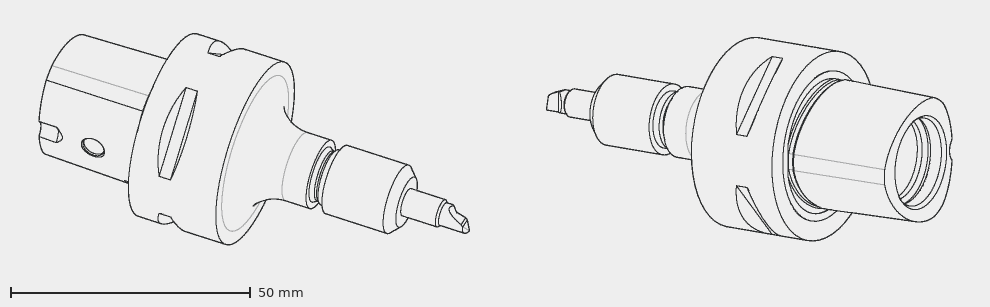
import cadquery as cq
import math


shank_end = 22.2
neck_start = 22.6
flange_start = 24.0
flange_length = 20.0
flange_end = flange_start + flange_length
nose_groove_start = 59.0
sleeve_start = 62.6
sleeve_end = 78.6
tip_start = 87.0
overall_length = 93.0

lobe_height = 0.93
shank_radius_small = 13.1
shank_taper = 1 / 40
shank_radius_large = shank_radius_small + shank_end * shank_taper
neck_inset = 0.25
neck_flare = 0.35
corner_truncation = 0.13
outline_samples = 120

flange_radius = 20.0
face_groove_radius = 15.05
face_groove_round = 0.8

notch_count = 4
notch_pitch = 360 / notch_count
notch_floor_distance = 17.5
notch_floor_width = 2.6
notch_half_angle = 30.0
notch_center_x = flange_start + 8.0

nose_radius = 7.5
nose_fillet = 9.5
groove_wall_radius = 6.05
groove_floor_radius = 5.5
groove_floor_start = 60.0
groove_floor_width = 0.5
sleeve_chamfer = 2.0
bar_radius = 3.0
tip_radius = 2.5

bore_mouth_radius = 9.9
bore_radius = 9.3
bore_mouth_depth = 0.9
bore_groove_radius = 9.6
bore_groove_start = 3.6
bore_groove_end = 4.4
bore_lip_radius = 8.7
bore_lip_end = 6.5

slot_radius = 3.0
slot_axis_y = -14.05
slot_length = 4.0
slot_cone_length = 3.6
side_hole_x = 12.5
side_hole_radius = 2.4
side_hole_chamfer = 0.3
side_hole_depth = 0.8
drill_half_angle = 59.0

cut_ramp_length = 2.4
cut_ramp_end = 90.0
relief_start = 88.4
relief_end = 92.1
relief_height = 1.05
end_top_x = 92.5
end_top_height = 0.6
end_side_setback = 0.55


def revolve_about_axis(profile):
    """Revolve a closed XY profile a full turn about the X axis."""
    return profile.close().revolve(360, (0, 0, 0), (1, 0, 0))


def polygon_wire(x, mean_radius):
    """Three-lobed outline in the plane at x, with one lobe towards +Y."""

    def point(t):
        angle = 2 * math.pi * t
        support = mean_radius + lobe_height * math.cos(3 * angle)
        slope = -3 * lobe_height * math.sin(3 * angle)
        y = support * math.cos(angle) - slope * math.sin(angle)
        z = support * math.sin(angle) + slope * math.cos(angle)
        return (y, z)

    outline = cq.Workplane("YZ", origin=(x, 0, 0)).parametricCurve(point, N=outline_samples)
    return outline.val()


def polygon_frustum(start, start_radius, end, end_radius):
    """Polygon solid whose rounded corners are truncated by a cone."""
    wires = [polygon_wire(start, start_radius), polygon_wire(end, end_radius)]
    body = cq.Workplane(cq.Solid.makeLoft(wires, True))
    corner_reach = lobe_height - corner_truncation
    truncation = revolve_about_axis(
        cq.Workplane("XY")
        .moveTo(start, 0)
        .lineTo(start, start_radius + corner_reach)
        .lineTo(end, end_radius + corner_reach)
        .lineTo(end, 0)
    )
    return body.intersect(truncation)


def shank():
    """Tapered polygon, its end chamfer, and the neck flaring into the flange."""
    neck_radius = shank_radius_large - neck_inset
    flare_start = flange_start - neck_flare
    taper = polygon_frustum(0, shank_radius_small, shank_end, shank_radius_large)
    chamfer = polygon_frustum(shank_end, shank_radius_large, neck_start, neck_radius)
    neck = polygon_frustum(neck_start, neck_radius, flare_start, neck_radius)
    flare = polygon_frustum(flare_start, neck_radius, flange_start, neck_radius + neck_flare)
    return taper.union(chamfer).union(neck).union(flare)


def turned_body():
    """Flange, flared nose, groove, sleeve and boring bar as one revolution."""
    flare_start_radius = nose_radius + nose_fillet
    flare_end = flange_end + nose_fillet
    arc_offset = nose_fillet * math.cos(math.radians(45))
    groove_floor_end = groove_floor_start + groove_floor_width
    groove_rise = groove_wall_radius - groove_floor_radius
    bar_chamfer = bar_radius - tip_radius
    return revolve_about_axis(
        cq.Workplane("XY")
        .moveTo(flange_start, 0)
        .lineTo(flange_start, flange_radius)
        .lineTo(flange_end, flange_radius)
        .lineTo(flange_end, flare_start_radius)
        .threePointArc(
            (flare_end - arc_offset, flare_start_radius - arc_offset),
            (flare_end, nose_radius),
        )
        .lineTo(nose_groove_start, nose_radius)
        .lineTo(nose_groove_start, groove_wall_radius)
        .lineTo(groove_floor_start, groove_floor_radius)
        .lineTo(groove_floor_end, groove_floor_radius)
        .lineTo(groove_floor_end + groove_rise, groove_wall_radius)
        .lineTo(sleeve_start, groove_wall_radius)
        .lineTo(sleeve_start, nose_radius)
        .lineTo(sleeve_end - sleeve_chamfer, nose_radius)
        .lineTo(sleeve_end, nose_radius - sleeve_chamfer)
        .lineTo(sleeve_end, bar_radius)
        .lineTo(tip_start - bar_chamfer, bar_radius)
        .lineTo(tip_start, tip_radius)
        .lineTo(overall_length, tip_radius)
        .lineTo(overall_length, 0)
    )


def face_groove():
    """Ring of round section centred on the rear face of the flange."""
    center = cq.Vector(flange_start, 0, 0)
    axis = cq.Vector(1, 0, 0)
    return cq.Workplane(cq.Solid.makeTorus(face_groove_radius, face_groove_round, center, axis))


def bore():
    """Stepped bore with an inner groove and a 90 degree conical bottom."""
    lip_chamfer = bore_groove_radius - bore_lip_radius
    return revolve_about_axis(
        cq.Workplane("XY")
        .lineTo(0, bore_mouth_radius)
        .lineTo(bore_mouth_depth, bore_radius)
        .lineTo(bore_groove_start, bore_radius)
        .lineTo(bore_groove_start, bore_groove_radius)
        .lineTo(bore_groove_end, bore_groove_radius)
        .lineTo(bore_groove_end + lip_chamfer, bore_lip_radius)
        .lineTo(bore_lip_end, bore_lip_radius)
        .lineTo(bore_lip_end + bore_lip_radius, 0)
    )


def drive_slot():
    """Round slot along X with a conical end."""
    profile = (
        cq.Workplane("XY")
        .moveTo(0, slot_axis_y)
        .lineTo(0, slot_axis_y + slot_radius)
        .lineTo(slot_length, slot_axis_y + slot_radius)
        .lineTo(slot_length + slot_cone_length, slot_axis_y)
        .close()
    )
    return profile.revolve(360, (0, slot_axis_y, 0), (1, slot_axis_y, 0))


def side_hole():
    """Blind drilled hole along Y with a chamfered mouth."""
    mouth_radius = shank_radius_small + side_hole_x * shank_taper
    mouth_y = lobe_height - mouth_radius
    chamfer_radius = side_hole_radius + side_hole_chamfer
    floor_y = mouth_y + side_hole_depth
    drill_point = side_hole_radius / math.tan(math.radians(drill_half_angle))
    profile = (
        cq.Workplane("XY")
        .moveTo(side_hole_x, -flange_radius)
        .lineTo(side_hole_x + chamfer_radius, -flange_radius)
        .lineTo(side_hole_x + chamfer_radius, mouth_y)
        .lineTo(side_hole_x + side_hole_radius, mouth_y + side_hole_chamfer)
        .lineTo(side_hole_x + side_hole_radius, floor_y)
        .lineTo(side_hole_x, floor_y + drill_point)
        .close()
    )
    return profile.revolve(360, (side_hole_x, 0, 0), (side_hole_x, 1, 0))


def flange_notch(angle):
    """Flared tangential notch, with its floor facing the given angle."""
    height = flange_radius - notch_floor_distance
    floor_half = notch_floor_width / 2
    mouth_half = floor_half + height * math.tan(math.radians(notch_half_angle))
    cutter = (
        cq.Workplane("XZ")
        .moveTo(notch_center_x - floor_half, notch_floor_distance)
        .lineTo(notch_center_x - mouth_half, flange_radius)
        .lineTo(notch_center_x + mouth_half, flange_radius)
        .lineTo(notch_center_x + floor_half, notch_floor_distance)
        .close()
        .extrude(flange_radius, both=True)
    )
    return cutter.rotate((0, 0, 0), (1, 0, 0), angle)


def half_cut():
    """Removes the +Y half of the tip up to a ramp."""
    slope = cut_ramp_length / tip_radius
    reach = 2 * tip_radius
    return (
        cq.Workplane("XY")
        .moveTo(cut_ramp_end, 0)
        .lineTo(cut_ramp_end - reach * slope, reach)
        .lineTo(overall_length, reach)
        .lineTo(overall_length, 0)
        .close()
        .extrude(reach, both=True)
    )


def top_relief():
    """Slopes the top of the tip and leans its end face back."""
    return (
        cq.Workplane("XZ")
        .moveTo(relief_start, tip_radius)
        .lineTo(relief_end, relief_height)
        .lineTo(end_top_x, end_top_height)
        .lineTo(overall_length, -tip_radius)
        .lineTo(overall_length, tip_radius)
        .close()
        .extrude(tip_radius, both=True)
    )


def side_relief():
    """Clears the end face behind the cutting edge, towards -Y."""
    return (
        cq.Workplane("XY")
        .moveTo(overall_length, 0)
        .lineTo(overall_length - end_side_setback, -tip_radius)
        .lineTo(overall_length, -tip_radius)
        .close()
        .extrude(tip_radius, both=True)
    )


result = shank().union(turned_body())
result = result.cut(face_groove()).cut(bore()).cut(drive_slot()).cut(side_hole())
for index in range(notch_count):
    result = result.cut(flange_notch(notch_pitch * index + notch_pitch / 2))
result = result.cut(half_cut()).cut(top_relief()).cut(side_relief())